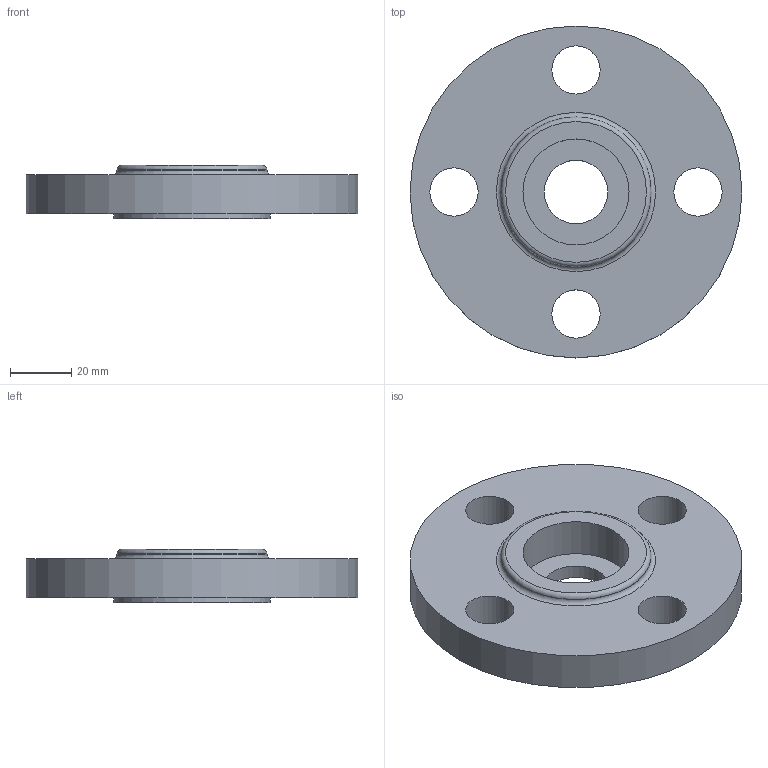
import cadquery as cq


overall_height = 17.34
raised_face_height = 1.6
flange_thickness = 12.7
socket_depth = 12.7

flange_diameter = 108.0
raised_face_diameter = 50.8
hub_diameter = 48.8
socket_diameter = 34.5
bore_diameter = 20.7

bolt_count = 4
bolt_hole_diameter = 15.7
bolt_circle_diameter = 79.4

hub_round_radius = 1.5

flange_top = raised_face_height + flange_thickness
hub_height = overall_height - flange_top
socket_floor = overall_height - socket_depth


def disc(diameter, bottom, height):
    """Solid cylinder on the flange axis, starting at the given height."""
    return cq.Workplane("XY").workplane(offset=bottom).circle(diameter / 2).extrude(height)


def flange_body():
    """Raised face, flange plate and hub, with both hub edges rounded."""
    raised_face = disc(raised_face_diameter, 0, raised_face_height)
    plate = disc(flange_diameter, raised_face_height, flange_thickness)
    hub = disc(hub_diameter, flange_top, hub_height)
    body = raised_face.union(plate).union(hub)

    hub_edges = cq.selectors.RadiusNthSelector(0)
    return body.edges(hub_edges).fillet(hub_round_radius)


def pipe_socket():
    """Blind socket that receives the pipe end from the hub side."""
    return disc(socket_diameter, socket_floor, socket_depth)


def through_bore():
    """Bore through the whole flange."""
    return disc(bore_diameter, 0, overall_height)


def bolt_holes():
    """Through holes equally spaced on the bolt circle, the first on +X."""
    return (
        cq.Workplane("XY")
        .polarArray(bolt_circle_diameter / 2, 0, 360, bolt_count)
        .circle(bolt_hole_diameter / 2)
        .extrude(overall_height)
    )


result = flange_body().cut(pipe_socket()).cut(through_bore()).cut(bolt_holes())